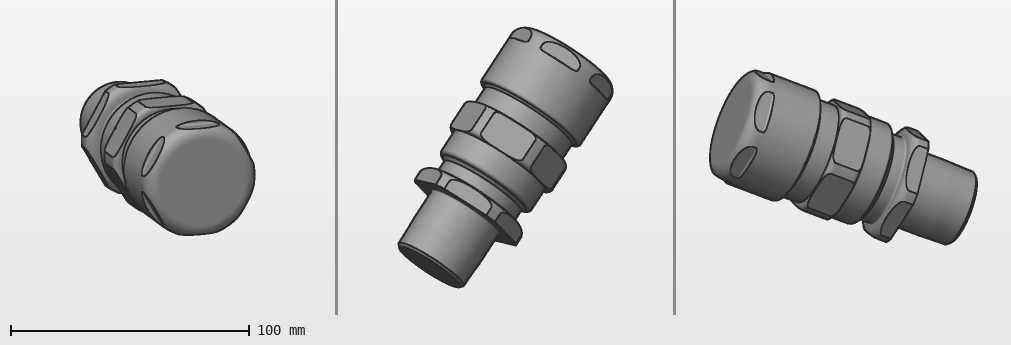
import cadquery as cq
import math


total_length = 107.2
across_flats = 46.0
hex_corner_diameter = 50.5

nose_tip_diameter = 30.5
nose_diameter = 33.4
nose_taper = 1 / 16
nose_chamfer_length = 1.2
taper_end_x = 13.1
nose_root_fillet = 0.5
entry_hex_x = 27.5
shoulder_start_x = 31.2
neck_diameter = 38.4
shoulder_end_x = 35.9
shoulder_points = [(33.8, 24.0), (34.7, 22.4), (35.0, 20.3)]
neck_end_x = 40.8
collar_diameter = 41.3

middle_x = 42.4
front_barrel_diameter = 45.1
front_barrel_fillet = 1.6
middle_hex_x = 53.8
middle_hex_end_x = 67.8
middle_hex_fillet = 2.1
rear_barrel_diameter = 43.5
flare_x = 76.3
flare_diameter = 45.4

cap_x = 77.4
cap_diameter = 49.5
cap_front_fillet = 1.1
cap_end_fillet = 5.8
flats_x = 99.1
flat_root_fillet = 1.0


def cylinder(x_start, x_end, diameter):
    """A round bar along X."""
    return cq.Workplane("YZ", origin=(x_start, 0, 0)).circle(diameter / 2).extrude(x_end - x_start)


def cone(x_start, x_end, start_diameter, end_diameter):
    """A tapered round bar along X."""
    outline = [
        (x_start, 0),
        (x_start, start_diameter / 2),
        (x_end, end_diameter / 2),
        (x_end, 0),
    ]
    return cq.Workplane("XY").polyline(outline).close().revolve(360, (0, 0), (1, 0))


def hex_bar(x_start, x_end):
    """A hexagonal bar along X with two of its flats facing +Z and -Z."""
    sharp_diameter = across_flats / math.cos(math.pi / 6)
    return cq.Workplane("YZ", origin=(x_start, 0, 0)).polygon(6, sharp_diameter).extrude(x_end - x_start)


def rounded_hexagon(x_start, x_end, fillet):
    """A hexagon whose corners are turned to a round bar with both ends filleted."""
    turned_bar = cylinder(x_start, x_end, hex_corner_diameter).faces("<X or >X").edges().fillet(fillet)
    return hex_bar(x_start, x_end).intersect(turned_bar)


def root_fillet(x_face, diameter, radius):
    """A concave ring where a round bar meets a face on its +X end."""
    bar_radius = diameter / 2
    bulge = radius * (1 - math.sqrt(0.5))
    ring = (
        cq.Workplane("XY")
        .moveTo(x_face, 0)
        .lineTo(x_face, bar_radius + radius)
        .threePointArc(
            (x_face - bulge, bar_radius + bulge),
            (x_face - radius, bar_radius),
        )
        .lineTo(x_face - radius, 0)
        .close()
    )
    return ring.revolve(360, (0, 0), (1, 0))


def shouldered_bar():
    """A round bar that sweeps in one S-curve from the hexagon corners down to the neck."""
    corner_radius = hex_corner_diameter / 2
    neck_radius = neck_diameter / 2
    outline = (
        cq.Workplane("XY")
        .moveTo(entry_hex_x, 0)
        .lineTo(entry_hex_x, corner_radius)
        .lineTo(shoulder_start_x, corner_radius)
        .spline(
            [*shoulder_points, (shoulder_end_x, neck_radius)],
            tangents=[(1, 0), (1, 0)],
            includeCurrent=True,
        )
        .lineTo(shoulder_end_x, 0)
        .close()
    )
    return outline.revolve(360, (0, 0), (1, 0))


def make_entry_fitting():
    taper_start_diameter = nose_diameter - (taper_end_x - nose_chamfer_length) * nose_taper
    collar_x = neck_end_x + (collar_diameter - neck_diameter) / 2
    body = cone(0, nose_chamfer_length, nose_tip_diameter, taper_start_diameter)
    body = body.union(cone(nose_chamfer_length, taper_end_x, taper_start_diameter, nose_diameter))
    body = body.union(cylinder(taper_end_x, entry_hex_x, nose_diameter))
    body = body.union(root_fillet(entry_hex_x, nose_diameter, nose_root_fillet))
    body = body.union(hex_bar(entry_hex_x, shoulder_end_x).intersect(shouldered_bar()))
    body = body.union(cylinder(shoulder_end_x, neck_end_x, neck_diameter))
    body = body.union(cone(neck_end_x, collar_x, neck_diameter, collar_diameter))
    return body.union(cylinder(collar_x, middle_x, collar_diameter))


def make_middle_body():
    body = cylinder(middle_x, middle_hex_x, front_barrel_diameter)
    body = body.faces("<X").edges().fillet(front_barrel_fillet)
    body = body.union(rounded_hexagon(middle_hex_x, middle_hex_end_x, middle_hex_fillet))
    body = body.union(cylinder(middle_hex_end_x, flare_x, rear_barrel_diameter))
    return body.union(cone(flare_x, cap_x, rear_barrel_diameter, flare_diameter))


def make_cap():
    body = cylinder(cap_x, total_length, cap_diameter)
    body = body.faces("<X").edges().fillet(cap_front_fillet)
    body = body.faces(">X").edges().fillet(cap_end_fillet)
    milled_ring = cylinder(flats_x, total_length, 2 * cap_diameter).cut(hex_bar(flats_x, total_length))
    milled_ring = milled_ring.faces("<X").edges("%LINE").fillet(flat_root_fillet)
    return body.cut(milled_ring)


entry_fitting = make_entry_fitting()
middle_body = make_middle_body()
cap = make_cap()

result = cq.Compound.makeCompound([entry_fitting.val(), middle_body.val(), cap.val()])